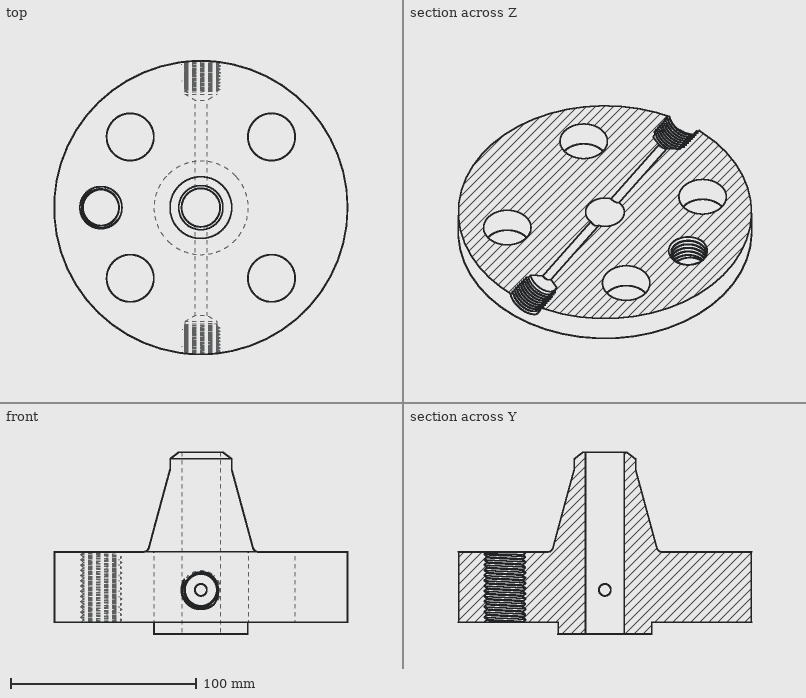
import cadquery as cq
import math

inch = 25.4

flange_diameter = 158.75
flange_thickness = 38.1
raised_face_diameter = 50.8
raised_face_height = 6.35
overall_height = 98.3
flange_top = raised_face_height + flange_thickness

bore_diameter = 20.7
pipe_diameter = 33.4
weld_land = 1.6
bevel_angle = 37.5
pipe_straight_length = 5.6
hub_base_diameter = 57.6
hub_fillet_radius = 3.0

bolt_hole_diameter = 25.4
bolt_circle_diameter = 108.0
bolt_count = 4

jack_radius_from_axis = 54.0
jack_major_diameter = 22.225
jack_minor_diameter = 19.4
jack_pitch = inch / 9
jack_runout = 1.5 * jack_pitch
jack_countersink_diameter = 22.8

tap_height = raised_face_height + 17.5
tap_pitch = inch / 14
tap_taper_ratio = 1 / 16
tap_taper_angle = math.degrees(math.atan(tap_taper_ratio / 2))
tap_mouth_major_diameter = 21.2
tap_mouth_minor_diameter = 18.3
tap_depth = 18.0
tap_point_angle = 118.0
pilot_diameter = 6.35

thread_mouth = 0.9
thread_overlap = 0.1


def flange_with_neck():
    bore_radius = bore_diameter / 2
    pipe_radius = pipe_diameter / 2
    land_radius = bore_radius + weld_land
    bevel_height = (pipe_radius - land_radius) * math.tan(math.radians(bevel_angle))
    bevel_bottom = overall_height - bevel_height
    hub_base = (hub_base_diameter / 2, flange_top)
    body = (
        cq.Workplane("XZ")
        .moveTo(bore_radius, 0)
        .lineTo(raised_face_diameter / 2, 0)
        .lineTo(raised_face_diameter / 2, raised_face_height)
        .lineTo(flange_diameter / 2, raised_face_height)
        .lineTo(flange_diameter / 2, flange_top)
        .lineTo(*hub_base)
        .lineTo(pipe_radius, bevel_bottom - pipe_straight_length)
        .lineTo(pipe_radius, bevel_bottom)
        .lineTo(land_radius, overall_height)
        .lineTo(bore_radius, overall_height)
        .close()
        .revolve(360, (0, 0, 0), (0, 1, 0))
    )
    top_face = body.faces(cq.selectors.NearestToPointSelector((0, 0, flange_top)))
    hub_foot = top_face.edges(cq.selectors.RadiusNthSelector(0))
    return hub_foot.fillet(hub_fillet_radius)


def bolt_holes():
    return (
        cq.Workplane("XY")
        .polarArray(bolt_circle_diameter / 2, 180 / bolt_count, 360, bolt_count)
        .circle(bolt_hole_diameter / 2)
        .extrude(flange_top)
    )


def thread_groove(major_diameter, minor_diameter, pitch, length, taper=0.0):
    """Helical V groove about +Z, starting at Z = 0; a positive taper narrows it with Z."""
    root_radius = major_diameter / 2
    mouth_radius = minor_diameter / 2 - thread_overlap
    mouth_half = pitch * thread_mouth / 2
    if taper:
        path = cq.Wire.makeHelix(pitch, length, mouth_radius, angle=-taper)
    else:
        path = cq.Wire.makeHelix(pitch, length, mouth_radius)
    return (
        cq.Workplane("XZ")
        .polyline([
            (mouth_radius, -mouth_half),
            (root_radius, 0),
            (mouth_radius, mouth_half),
        ])
        .close()
        .sweep(cq.Workplane(obj=path), isFrenet=True)
    )


def jack_screw_cutters():
    """Thread, tap drill and a 45 degree countersink at the top face."""
    drill_radius = jack_minor_diameter / 2
    countersink_radius = jack_countersink_diameter / 2
    thread_bottom = raised_face_height - jack_runout
    thread_length = flange_thickness + 2 * jack_runout
    groove = thread_groove(jack_major_diameter, jack_minor_diameter, jack_pitch, thread_length)
    core = (
        cq.Workplane("XZ")
        .lineTo(drill_radius, 0)
        .lineTo(drill_radius, flange_top - (countersink_radius - drill_radius))
        .lineTo(countersink_radius, flange_top)
        .lineTo(0, flange_top)
        .close()
        .revolve(360, (0, 0, 0), (0, 1, 0))
    )
    return [
        groove.translate((-jack_radius_from_axis, 0, thread_bottom)),
        core.translate((-jack_radius_from_axis, 0, 0)),
    ]


def pressure_tap_cutters():
    """Cutters for the tap on the -Y side, built along +Z with the mouth at Z = 0."""
    mouth_radius = tap_mouth_minor_diameter / 2
    narrowing = tap_taper_ratio / 2
    end_radius = mouth_radius - tap_depth * narrowing
    outer_radius = mouth_radius + tap_pitch * narrowing
    point_length = (end_radius - pilot_diameter / 2) / math.tan(math.radians(tap_point_angle / 2))
    core = (
        cq.Workplane("XZ")
        .moveTo(0, -tap_pitch)
        .lineTo(outer_radius, -tap_pitch)
        .lineTo(end_radius, tap_depth)
        .lineTo(pilot_diameter / 2, tap_depth + point_length)
        .lineTo(pilot_diameter / 2, flange_diameter / 2)
        .lineTo(0, flange_diameter / 2)
        .close()
        .revolve(360, (0, 0, 0), (0, 1, 0))
    )
    widening = tap_pitch * tap_taper_ratio
    groove = thread_groove(
        tap_mouth_major_diameter + widening,
        tap_mouth_minor_diameter + widening,
        tap_pitch,
        tap_depth,
        tap_taper_angle,
    ).translate((0, 0, -tap_pitch))
    place = cq.Vector(0, -flange_diameter / 2, tap_height)
    return [tool.rotate((0, 0, 0), (1, 0, 0), -90).translate(place) for tool in (groove, core)]


result = flange_with_neck().cut(bolt_holes())
for cutter in jack_screw_cutters():
    result = result.cut(cutter)
for cutter in pressure_tap_cutters():
    result = result.cut(cutter)
    result = result.cut(cutter.rotate((0, 0, 0), (0, 0, 1), 180))